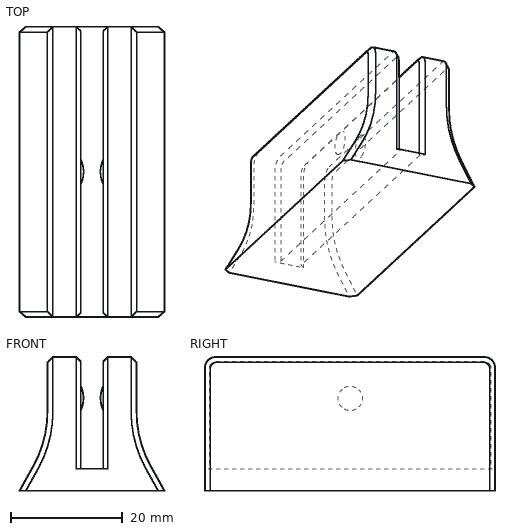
import cadquery as cq
import math

base_width = 26.0
length = 52.0
height = 24.0

upper_width = 16.0
flare_corner_height = 9.0
flare_radius = 20.0

slot_width = 4.0
slot_floor_height = 4.0

top_end_radius = 2.0
outer_chamfer = 1.0
slot_chamfer = 0.8

bump_height = 0.5
bump_sphere_radius = 5.0
bump_centre_height = 16.6
bump_root_depth = 0.5

edge_tolerance = 0.01


def flared_body():
    """Symmetric flared profile extruded along Y, with rounded top ends."""
    half_base = base_width / 2
    half_upper = upper_width / 2
    flare_angle = math.atan2(half_base - half_upper, flare_corner_height)
    tangent_length = flare_radius * math.tan(flare_angle / 2)

    arc_top = flare_corner_height + tangent_length
    arc_centre_x = half_upper + flare_radius

    def arc_point(angle):
        return (
            arc_centre_x - flare_radius * math.cos(angle),
            arc_top - flare_radius * math.sin(angle),
        )

    def mirrored(point):
        return (-point[0], point[1])

    arc_end = arc_point(flare_angle)
    arc_middle = arc_point(flare_angle / 2)
    arc_start = arc_point(0)

    body = (
        cq.Workplane("XZ")
        .moveTo(-half_base, 0)
        .lineTo(half_base, 0)
        .lineTo(*arc_end)
        .threePointArc(arc_middle, arc_start)
        .lineTo(half_upper, height)
        .lineTo(-half_upper, height)
        .lineTo(*mirrored(arc_start))
        .threePointArc(mirrored(arc_middle), mirrored(arc_end))
        .close()
        .extrude(length / 2, both=True)
    )
    return body.faces(">Z").edges("|X").fillet(top_end_radius)


def chamfer_outer_edges(body):
    """Chamfer both flank outlines, leaving the bottom edges sharp."""
    return body.faces(">Z").edges("|Y").chamfer(outer_chamfer)


def cut_slot(body):
    """Cut the slot along Y, then chamfer its rims over the top and ends."""
    slot = (
        cq.Workplane("XY")
        .workplane(offset=slot_floor_height)
        .rect(slot_width, length)
        .extrude(height - slot_floor_height)
    )
    slotted = body.cut(slot)
    half_slot = slot_width / 2
    rim_box = cq.selectors.BoxSelector(
        (-half_slot - edge_tolerance, -length, slot_floor_height + edge_tolerance),
        (half_slot + edge_tolerance, length, height + edge_tolerance),
    )
    return slotted.edges(rim_box).chamfer(slot_chamfer)


def grip_bump(side):
    """Shallow spherical cap on one slot wall; side is -1 or +1 along X."""
    half_slot = slot_width / 2
    tip_x = half_slot - bump_height
    root_x = half_slot + bump_root_depth

    edge_angle = math.acos(1 - bump_height / bump_sphere_radius)
    base_radius = bump_sphere_radius * math.sin(edge_angle)
    middle_x = tip_x + bump_sphere_radius * (1 - math.cos(edge_angle / 2))
    middle_radius = bump_sphere_radius * math.sin(edge_angle / 2)
    return (
        cq.Workplane("XY", origin=(0, 0, bump_centre_height))
        .moveTo(side * tip_x, 0)
        .threePointArc((side * middle_x, middle_radius), (side * half_slot, base_radius))
        .lineTo(side * root_x, base_radius)
        .lineTo(side * root_x, 0)
        .close()
        .revolve(axisStart=(0, 0, 0), axisEnd=(1, 0, 0))
    )


result = cut_slot(chamfer_outer_edges(flared_body()))
for wall_side in (-1, 1):
    result = result.union(grip_bump(wall_side))